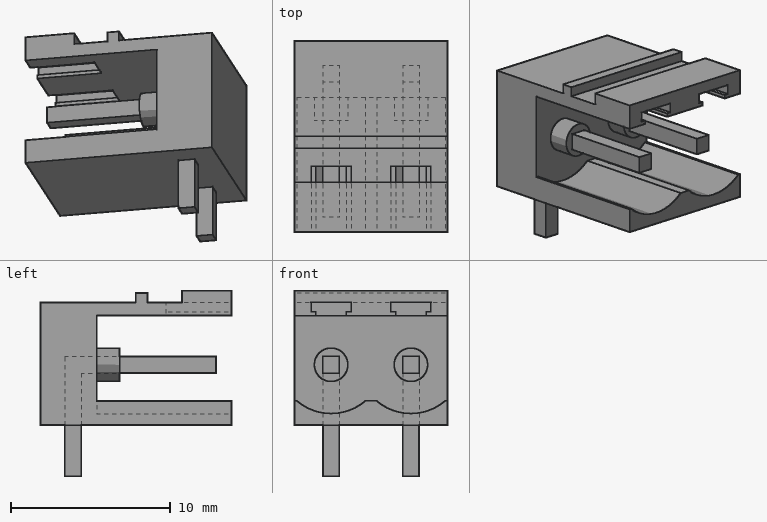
import cadquery as cq


width = 9.6
depth = 12.0
body_height = 7.7
back_wall_y = 8.45
floor_top = 1.52
ceiling_z = 6.87

lip_top = 8.43
lip_depth = 3.13
ridge_front_y = 5.27
ridge_back_y = 6.02
ridge_top = 8.3

pitch = 5.0
pole_positions = [-pitch / 2, pitch / 2]
pole_z = 3.79
collar_diameter = 2.1
collar_front_y = 7.03

trough_radius = 3.3
trough_bottom_z = 0.73
trough_axis_z = trough_bottom_z + trough_radius

slot_depth = 4.13
slot_width = 2.5
slot_neck_width = 1.92
slot_ledge_z = 7.1

pin_size = 1.04
pin_tip_y = 0.97
leg_y = 9.95
leg_length = 3.2


def box(x_center, x_size, y_range, z_range):
    """Box centred on x_center, spanning the given Y and Z ranges."""
    y_min, y_max = y_range
    z_min, z_max = z_range
    return (
        cq.Workplane("XY")
        .box(x_size, y_max - y_min, z_max - z_min, centered=(True, False, False))
        .translate((x_center, y_min, z_min))
    )


def rod(x, z, radius, y_range):
    """Cylinder along Y whose axis passes through the given X and Z."""
    y_min, y_max = y_range
    start = cq.Vector(x, y_min, z)
    along_y = cq.Vector(0, 1, 0)
    return cq.Workplane(cq.Solid.makeCylinder(radius, y_max - y_min, start, along_y))


def make_pin(x):
    """Square right-angle pin: contact blade along Y, solder leg down."""
    half = pin_size / 2
    leg_y_range = (leg_y - half, leg_y + half)
    blade = box(x, pin_size, (pin_tip_y, leg_y + half), (pole_z - half, pole_z + half))
    leg = box(x, pin_size, leg_y_range, (-leg_length, pole_z + half))
    return blade.union(leg).clean().solids()


def make_t_slot(x):
    """T-slot in the roof, reaching up to the roof surface behind the lip."""
    y_range = (0, slot_depth)
    neck = box(x, slot_neck_width, y_range, (ceiling_z, body_height))
    head = box(x, slot_width, y_range, (slot_ledge_z, body_height))
    return neck.union(head)


def make_housing():
    """C-shaped housing with ridge, lip, troughs, collars, T-slots and pin passages."""
    housing = box(0, width, (0, depth), (0, body_height))
    housing = housing.union(box(0, width, (0, lip_depth), (body_height, lip_top)))
    housing = housing.union(box(0, width, (ridge_front_y, ridge_back_y), (body_height, ridge_top)))

    housing = housing.cut(box(0, width, (0, back_wall_y), (floor_top, ceiling_z)))

    for x in pole_positions:
        trough = rod(x, trough_axis_z, trough_radius, (0, back_wall_y))
        trough = trough.intersect(box(0, width, (0, back_wall_y), (0, ceiling_z)))
        collar = rod(x, pole_z, collar_diameter / 2, (collar_front_y, back_wall_y))
        housing = housing.cut(trough).union(collar)
        housing = housing.cut(make_t_slot(x)).cut(make_pin(x))
    return housing.solids()


housing = make_housing()
pins = [make_pin(x) for x in pole_positions]

result = cq.Compound.makeCompound([housing.val(), *[pin.val() for pin in pins]])